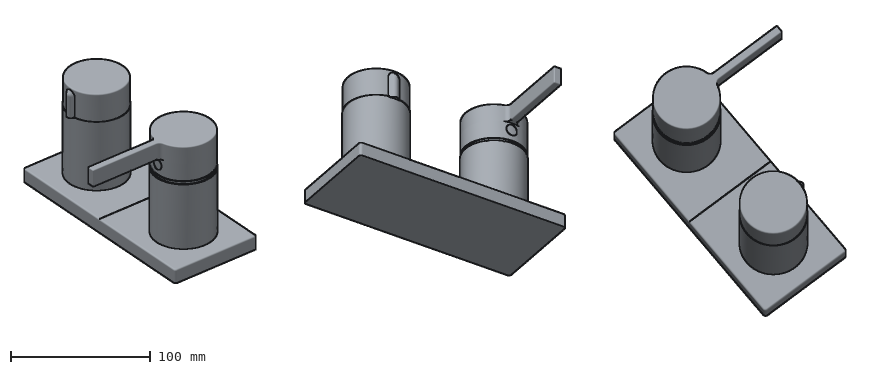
import cadquery as cq
import math

plate_length = 175
plate_width = 74.9
plate_height = 11.5
plate_corner_radius = 2.1
plate_edge_radius = 1.2
seam_width = 0.2
seam_depth = 0.2

control_spacing = 100.0
body_radius = 24.5
knob_radius = 24.2
knob_edge_radius = 1.0
pointer_knob_base_z = 69.6
lever_knob_base_z = 68.6
pointer_x = -control_spacing / 2
lever_x = control_spacing / 2
pointer_knob_top = 93.0
lever_knob_top = 97.8

neck_radius = 23.5
neck_height = 2.5

lever_width = 6.3
lever_height = 14.4
lever_tip_y = plate_width / 2 - 122.5
lever_root_radius = 3.8
lever_edge_radius = 0.9

plug_diameter = 9.0
plug_z = 77.7
plug_depth = 0.2

pointer_width = 5.6
pointer_root_width = 11.2
pointer_root_reach = 23.0
pointer_reach = 27.0
pointer_shoulder_reach = 25.4
pointer_base_z = 68.8
pointer_cap_z = 86.8


def cylinder(x, radius, bottom, top):
    """Upright cylinder on the centre line of the plate."""
    return cq.Workplane("XY", origin=(x, 0, bottom)).circle(radius).extrude(top - bottom)


def make_plate():
    plate = (
        cq.Workplane("XY")
        .rect(plate_length, plate_width)
        .extrude(plate_height)
        .edges("|Z").fillet(plate_corner_radius)
        .faces(">Z").edges().fillet(plate_edge_radius)
    )
    seam = cq.Workplane("XY", origin=(0, 0, plate_height)).box(seam_width, plate_width, 2 * seam_depth)
    return plate.cut(seam)


def make_pointer():
    """Upright rib with a rounded nose and flared flanks, ending in a turned cap of the same outline."""
    root_half_width = pointer_root_width / 2
    inner_y = -knob_radius / 2
    nose_half_width = pointer_width / 2
    nose_height = pointer_reach - pointer_shoulder_reach
    nose_radius = (nose_half_width**2 + nose_height**2) / (2 * nose_height)
    rib = (
        cq.Workplane("XY", origin=(pointer_x, 0, pointer_base_z))
        .moveTo(-root_half_width, -pointer_root_reach)
        .lineTo(-nose_half_width, -pointer_shoulder_reach)
        .threePointArc((0, -pointer_reach), (nose_half_width, -pointer_shoulder_reach))
        .lineTo(root_half_width, -pointer_root_reach)
        .lineTo(0, inner_y)
        .close()
        .extrude(pointer_cap_z - pointer_base_z)
    )
    cap = (
        cq.Workplane("XY", origin=(pointer_x, 0, pointer_cap_z))
        .moveTo(0, inner_y)
        .lineTo(root_half_width, -pointer_root_reach)
        .lineTo(nose_half_width, -pointer_shoulder_reach)
        .radiusArc((0, -pointer_reach), nose_radius)
        .close()
        .revolve(360, (0, 0), (0, 1))
    )
    return rib.union(cap)


def make_pointer_control():
    body = cylinder(pointer_x, body_radius, 0, pointer_knob_base_z)
    knob = cylinder(pointer_x, knob_radius, pointer_knob_base_z, pointer_knob_top)
    knob = knob.faces(">Z").edges().fillet(knob_edge_radius)
    return body.union(knob).union(make_pointer())


def make_upper_knob():
    """Upper part of the lever knob and its flat bar, joined by a concave arc on each side."""
    half_width = lever_width / 2
    arc_x = half_width + lever_root_radius
    arc_distance = knob_radius + lever_root_radius
    arc_y = -math.sqrt(arc_distance**2 - arc_x**2)
    tangent_x = arc_x * knob_radius / arc_distance
    tangent_y = arc_y * knob_radius / arc_distance

    start_angle = math.atan2(tangent_y - arc_y, tangent_x - arc_x)
    middle_angle = (start_angle + math.pi) / 2
    middle_x = arc_x + lever_root_radius * math.cos(middle_angle)
    middle_y = arc_y + lever_root_radius * math.sin(middle_angle)

    bottom_z = lever_knob_top - lever_height
    upper_knob = (
        cq.Workplane("XY", origin=(lever_x, 0, bottom_z))
        .moveTo(tangent_x, tangent_y)
        .threePointArc((middle_x, middle_y), (half_width, arc_y))
        .lineTo(-half_width, arc_y)
        .threePointArc((-middle_x, middle_y), (-tangent_x, tangent_y))
        .threePointArc((0, knob_radius), (tangent_x, tangent_y))
        .close()
        .extrude(lever_height)
        .faces(">Z").edges("not <Y").fillet(lever_edge_radius)
    )
    bar_length = arc_y - lever_tip_y
    bar = (
        cq.Workplane("XY", origin=(lever_x, lever_tip_y, bottom_z))
        .box(lever_width, bar_length, lever_height, centered=(True, False, False))
        .edges("not >Y").fillet(lever_edge_radius)
    )
    return upper_knob.union(bar, clean=False)


def make_lower_knob():
    """Plain lower part of the lever knob, with the plug mark."""
    top_z = lever_knob_top - lever_height
    core = cylinder(lever_x, knob_radius - plug_depth, lever_knob_base_z, top_z)
    plug_mark = (
        cq.Workplane("XZ", origin=(lever_x, 0, plug_z))
        .circle(plug_diameter / 2)
        .extrude(body_radius)
        .cut(core)
    )
    return cylinder(lever_x, knob_radius, lever_knob_base_z, top_z).cut(plug_mark)


def make_lever_control():
    neck_base_z = lever_knob_base_z - neck_height
    body = cylinder(lever_x, body_radius, 0, neck_base_z)
    neck = cylinder(lever_x, neck_radius, neck_base_z, lever_knob_base_z)
    return body.union(neck).union(make_lower_knob()).union(make_upper_knob(), clean=False)


result = make_plate().union(make_pointer_control()).union(make_lever_control(), clean=False)